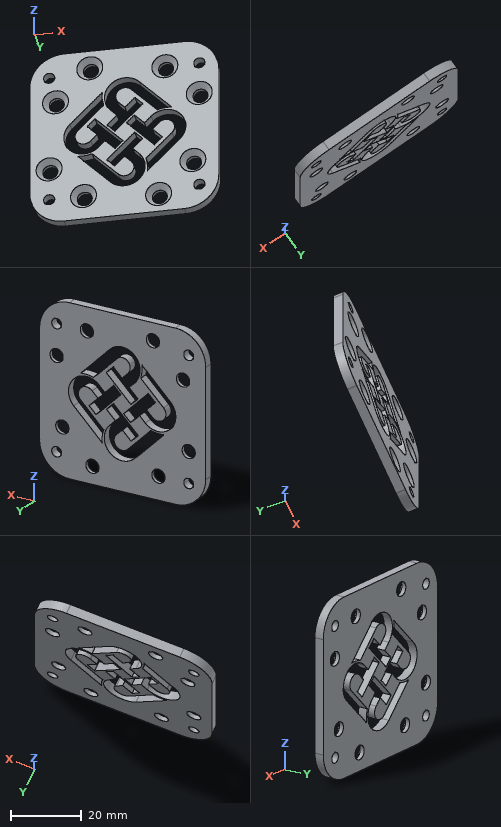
import cadquery as cq
import math

side = 55
thickness = 3.0
corner_radius = 10.0

mount_diameter = 3.2
mount_x = 21.85
mount_z = 19.95

screw_diameter = 4.3
sink_diameter = 7.55
sink_angle = 90
screw_places = [(-10.0, 21.85), (11.8, 19.95)]

strand_width = 3.2
hook_center = 8.35
inner_radius = 2.7
outer_radius = inner_radius + strand_width
bar_left = -1.65
bar_right = 9.8
bar_bottom = 2.4
bar_top = bar_bottom + strand_width
arm_inner_end = -2.3
arm_outer_end = -4.95
arm_end_hollow = 0.19
knot_angle = 45
knot_x = 0.15
knot_z = -0.15
quarter_turns = [0, 90, 180, 270]


def front_plane(y):
    """XZ sketch plane at depth y, with its normal toward -Y."""
    return cq.Workplane("XZ", origin=(0, y, 0))


def turned(point, degrees):
    x, z = point
    angle = math.radians(degrees)
    return (
        x * math.cos(angle) - z * math.sin(angle),
        x * math.sin(angle) + z * math.cos(angle),
    )


def make_plate():
    plate = front_plane(0).rect(side, side).extrude(thickness / 2, both=True)
    return plate.edges("|Y").fillet(corner_radius)


def make_strand():
    """Through cutter for one strand, in its unturned position."""
    outer_right = hook_center + outer_radius
    inner_right = hook_center + inner_radius
    inner_left = hook_center - inner_radius
    outer_left = hook_center - outer_radius
    hook = (
        front_plane(0)
        .moveTo(outer_right, arm_outer_end)
        .lineTo(outer_right, hook_center)
        .threePointArc((hook_center, hook_center + outer_radius), (outer_left, hook_center))
        .lineTo(outer_left, bar_bottom)
        .lineTo(inner_left, bar_bottom)
        .lineTo(inner_left, hook_center)
        .threePointArc((hook_center, hook_center + inner_radius), (inner_right, hook_center))
        .lineTo(inner_right, arm_inner_end)
        .sagittaArc((outer_right, arm_outer_end), arm_end_hollow)
        .close()
        .extrude(thickness, both=True)
    )
    bar = (
        front_plane(0)
        .center((bar_left + bar_right) / 2, (bar_bottom + bar_top) / 2)
        .rect(bar_right - bar_left, strand_width)
        .extrude(thickness, both=True)
    )
    return hook.union(bar)


def cut_mount_holes(plate):
    centers = front_plane(-thickness / 2).rect(2 * mount_x, 2 * mount_z, forConstruction=True)
    cutters = centers.vertices().circle(mount_diameter / 2).extrude(-thickness)
    return plate.cut(cutters)


def cut_screw_holes(plate):
    centers = [turned(place, turn) for place in screw_places for turn in quarter_turns]
    face = plate.faces("<Y").workplane(origin=(0, -thickness / 2, 0))
    return face.pushPoints(centers).cskHole(screw_diameter, sink_diameter, sink_angle)


def cut_knot(plate):
    strand = make_strand()
    for turn in quarter_turns:
        cutter = strand.rotate((0, 0, 0), (0, -1, 0), knot_angle + turn)
        plate = plate.cut(cutter.translate((knot_x, 0, knot_z)))
    return plate


result = make_plate()
result = cut_mount_holes(result)
result = cut_screw_holes(result)
result = cut_knot(result)